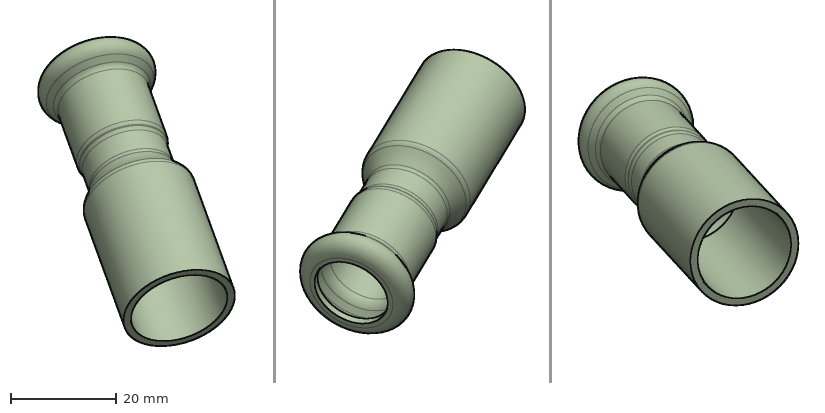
import cadquery as cq
import math


total_length = 60.0
wall = 1.5

bead_radius = 3.0
bead_ring_radius = 8.5
bead_slope = math.radians(45)

sleeve_radius = 18.0 / 2
sleeve_end = 20.4
sleeve_fillet = 1.8

neck_radius = 17.0 / 2
neck_bend_radius = 2.2
neck_bend_slope = math.radians(25)
neck_end = 27.15
neck_bore_radius = 12.0 / 2

spigot_radius = 22.0 / 2
spigot_start = 32.55

flare_neck_fillet = 2.5
flare_start_slope = math.radians(21)
flare_spigot_fillet = 1.7
flare_end_slope = math.radians(40)

mouth_radius = sleeve_radius - wall
spigot_bore_radius = spigot_radius - wall
groove_radius = bead_radius - wall
bead_centre = (bead_radius, bead_ring_radius)

fillet_centre_r = sleeve_radius + sleeve_fillet
flank_reach = bead_radius + sleeve_fillet
fillet_centre_x = bead_centre[0] + (
    flank_reach - (fillet_centre_r - bead_centre[1]) * math.cos(bead_slope)
) / math.sin(bead_slope)
fillet_centre = (fillet_centre_x, fillet_centre_r)


def polar(centre, radius, angle):
    """Point at the given angle, measured from the radial direction towards +X."""
    return (
        centre[0] + radius * math.sin(angle),
        centre[1] + radius * math.cos(angle),
    )


def arc(profile, centre, radius, start, end):
    """Append a circular arc that begins at the current profile point."""
    middle = polar(centre, radius, (start + end) / 2)
    return profile.threePointArc(middle, polar(centre, radius, end))


def trace_sleeve(profile):
    """Outside from the end face over the bead to the end of the sleeve."""
    flank_angle = math.pi + bead_slope
    profile = profile.lineTo(0, bead_ring_radius)
    profile = arc(profile, bead_centre, bead_radius, -math.pi / 2, bead_slope)
    profile = profile.lineTo(*polar(fillet_centre, sleeve_fillet, flank_angle))
    profile = arc(profile, fillet_centre, sleeve_fillet, flank_angle, math.pi)
    return profile.lineTo(sleeve_end, sleeve_radius)


def trace_neck(profile):
    """Outside S-bend, two equal arcs joined by a short cone, from the sleeve down to the neck."""
    arc_drop = neck_bend_radius * (1 - math.cos(neck_bend_slope))
    arc_run = neck_bend_radius * math.sin(neck_bend_slope)
    cone_drop = sleeve_radius - neck_radius - 2 * arc_drop
    neck_start = sleeve_end + 2 * arc_run + cone_drop / math.tan(neck_bend_slope)
    convex_centre = (sleeve_end, sleeve_radius - neck_bend_radius)
    concave_centre = (neck_start, neck_radius + neck_bend_radius)
    cone_end_angle = math.pi + neck_bend_slope
    profile = arc(profile, convex_centre, neck_bend_radius, 0, neck_bend_slope)
    profile = profile.lineTo(*polar(concave_centre, neck_bend_radius, cone_end_angle))
    profile = arc(profile, concave_centre, neck_bend_radius, cone_end_angle, math.pi)
    return profile.lineTo(neck_end, neck_radius)


def trace_flare(profile):
    """Outside from the neck through the trumpet-shaped flare to the spigot."""
    neck_centre = (neck_end, neck_radius + flare_neck_fillet)
    spigot_centre = (spigot_start, spigot_radius - flare_spigot_fillet)
    flare_end = polar(spigot_centre, flare_spigot_fillet, -flare_end_slope)
    profile = arc(profile, neck_centre, flare_neck_fillet, math.pi, math.pi - flare_start_slope)
    profile = profile.tangentArcPoint(flare_end, relative=False)
    profile = arc(profile, spigot_centre, flare_spigot_fillet, -flare_end_slope, 0)
    return profile.lineTo(total_length, spigot_radius)


def trace_bore(profile):
    """Inside from the spigot end back to the mouth, including stop and seal groove."""
    flank_angle = math.pi + bead_slope
    inner_fillet = sleeve_fillet + wall
    profile = profile.lineTo(total_length, spigot_bore_radius)
    profile = profile.lineTo(spigot_start, spigot_bore_radius)
    profile = profile.lineTo(neck_end, neck_bore_radius)
    profile = profile.lineTo(sleeve_end, neck_bore_radius)
    profile = profile.lineTo(sleeve_end, mouth_radius)
    profile = profile.lineTo(fillet_centre[0], mouth_radius)
    profile = arc(profile, fillet_centre, inner_fillet, math.pi, flank_angle)
    profile = profile.lineTo(*polar(bead_centre, groove_radius, bead_slope))
    profile = arc(profile, bead_centre, groove_radius, bead_slope, -math.pi / 2)
    profile = profile.lineTo(wall, mouth_radius)
    return profile.close()


section = cq.Workplane("XY").moveTo(0, mouth_radius)
for trace in (trace_sleeve, trace_neck, trace_flare, trace_bore):
    section = trace(section)

result = section.revolve(360, (0, 0, 0), (1, 0, 0))